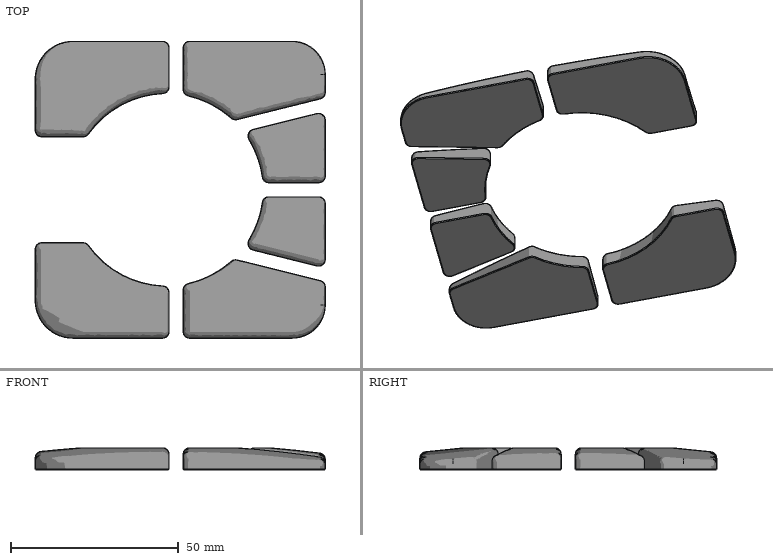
import cadquery as cq
import math

LENGTH_X = 86.4
LENGTH_Y = 88.4
RIGHT = LENGTH_X / 2
LEFT = -RIGHT
BACK = LENGTH_Y / 2

OPENING_X = -4.0
OPENING_RADIUS = 28.6

DOME_RADIUS = 362.4
DOME_HEIGHT = 7.9

GAP = 4.15
SPLIT_X = -1.2

SLANTED_GAP = 4.0
SLANT_ANGLE = math.radians(14)
SLANT_END_Y = 25.4

LEFT_PAD_FRONT = 15.7

LEFT_CORNER_RADIUS = 11.3
RIGHT_CORNER_RADIUS = 10.0
EDGE_RADIUS = 2.0
BOTTOM_CHAMFER = 0.3

SMOOTH_EDGE_REACH = 1.01


def slanted_gap_y(x, side):
    """Y of the slanted gap's rear edge (side 1) or front edge (side -1) at a given x."""
    middle = SLANT_END_Y + (x - RIGHT) * math.tan(SLANT_ANGLE)
    return middle + side * SLANTED_GAP / 2 / math.cos(SLANT_ANGLE)


def make_pad(outline, big_corner=None, big_radius=0.0):
    """Pad with a straight-sided outline, cut by the opening, domed on top and rounded at its edges.

    The upright edge at the (x, y) of big_corner, if given, is rounded by big_radius.
    """
    block = cq.Workplane("XY").polyline(outline).close().extrude(DOME_HEIGHT)
    opening = cq.Workplane("XY").center(OPENING_X, 0).circle(OPENING_RADIUS).extrude(DOME_HEIGHT)
    dome = cq.Workplane("XY").sphere(DOME_RADIUS).translate((OPENING_X, 0, DOME_HEIGHT - DOME_RADIUS))
    pad = block.cut(opening)

    if big_corner:
        corner_edge = cq.selectors.NearestToPointSelector((*big_corner, DOME_HEIGHT / 2))
        pad = pad.edges(corner_edge).fillet(big_radius)
    pad = pad.intersect(dome)

    def is_sharp(edge):
        if not big_corner:
            return True
        place = edge.Center()
        return math.dist((place.x, place.y), big_corner) > big_radius * SMOOTH_EDGE_REACH

    sharp_edges = pad.edges("|Z").filter(is_sharp)
    top_edges = pad.faces(">Z").edges()
    pad = sharp_edges.add(top_edges).fillet(EDGE_RADIUS)
    return pad.faces("<Z").chamfer(BOTTOM_CHAMFER)


def left_pad():
    """Rear left pad, on the left of the straight gap at SPLIT_X."""
    inner = SPLIT_X - GAP / 2
    corner = (LEFT, BACK)
    outline = [(inner, BACK), corner, (LEFT, LEFT_PAD_FRONT), (inner, LEFT_PAD_FRONT)]
    return make_pad(outline, corner, LEFT_CORNER_RADIUS)


def right_pad():
    """Rear right pad, between the straight gap at SPLIT_X and the slanted gap."""
    inner = SPLIT_X + GAP / 2
    corner = (RIGHT, BACK)
    outline = [(inner, BACK), corner, (RIGHT, slanted_gap_y(RIGHT, 1)), (inner, slanted_gap_y(inner, 1))]
    return make_pad(outline, corner, RIGHT_CORNER_RADIUS)


def small_pad():
    """Small pad on the right, between the slanted gap and the gap along the X axis."""
    inner = OPENING_X
    front = GAP / 2
    outline = [
        (RIGHT, front),
        (RIGHT, slanted_gap_y(RIGHT, -1)),
        (inner, slanted_gap_y(inner, -1)),
        (inner, front),
    ]
    return make_pad(outline)


bodies = []
for rear_pad in (left_pad(), right_pad(), small_pad()):
    front_pad = rear_pad.mirror("XZ")
    bodies += [rear_pad.val(), front_pad.val()]

result = cq.Compound.makeCompound(bodies)